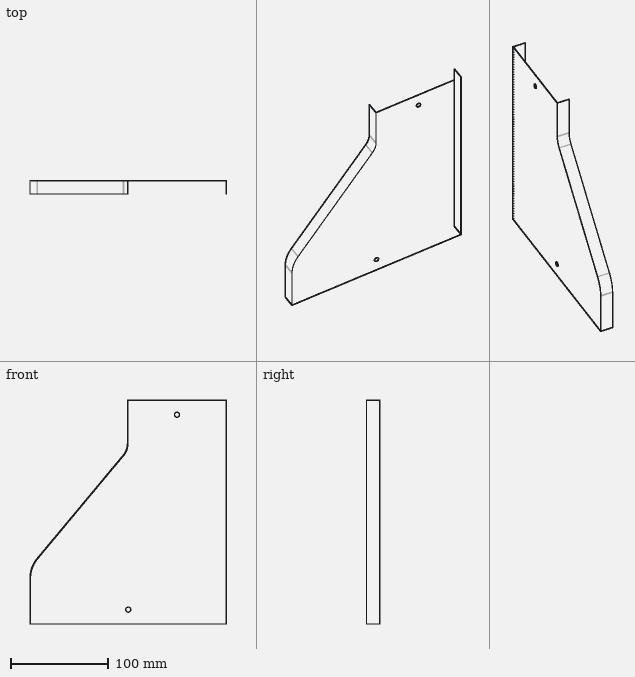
import cadquery as cq
import math

SHEET = 0.8
DEPTH = 14.0
HEIGHT = 230.0
OUTER_BASE_WIDTH = 202.0
OUTER_TOP_WIDTH = 102.0

SLOPE_START_Z = 58.4
SLOPE_RISE = 120.0
LOWER_BEND_RADIUS = 31.0
UPPER_BEND_RADIUS = 19.0

HOLE_DIAMETER = 5.0
HOLE_EDGE_DISTANCE = 15.0

BASE_WIDTH = OUTER_BASE_WIDTH - 2 * SHEET
TOP_WIDTH = OUTER_TOP_WIDTH - 2 * SHEET
STEP = BASE_WIDTH - TOP_WIDTH
SLOPE_END_Z = SLOPE_START_Z + SLOPE_RISE
SLOPE_ANGLE = math.atan2(STEP, SLOPE_RISE)


def left_wall(offset):
    """Arc points of the lower and upper bends, with the left side moved outward by offset."""
    half_angle = SLOPE_ANGLE / 2
    corner_shift = offset * math.tan(half_angle)
    lower_radius = LOWER_BEND_RADIUS + offset
    upper_radius = UPPER_BEND_RADIUS - offset

    def bend(corner_x, corner_z, radius, side):
        """Start, middle and end of a bend, going up; side is +1 when its centre lies to the right."""
        centre_x = corner_x + side * radius
        centre_z = corner_z - side * radius * math.tan(half_angle)
        angles = (0, half_angle, SLOPE_ANGLE)
        if side < 0:
            angles = (SLOPE_ANGLE, half_angle, 0)
        return [
            (centre_x - side * radius * math.cos(a), centre_z + side * radius * math.sin(a))
            for a in angles
        ]

    lower = bend(-offset, SLOPE_START_Z + corner_shift, lower_radius, 1)
    upper = bend(STEP - offset, SLOPE_END_Z + corner_shift, upper_radius, -1)
    return lower, upper


def extrude_outline(offset, depth):
    """Solid with its left and right sides moved outward by offset, reaching forward from the back."""
    lower, upper = left_wall(offset)
    right_x = BASE_WIDTH + offset
    return (
        cq.Workplane("XZ")
        .moveTo(-offset, 0)
        .lineTo(*lower[0])
        .threePointArc(*lower[1:])
        .lineTo(*upper[0])
        .threePointArc(*upper[1:])
        .lineTo(STEP - offset, HEIGHT)
        .lineTo(right_x, HEIGHT)
        .lineTo(right_x, 0)
        .close()
        .extrude(depth)
    )


def make_tray():
    """Flat back plate with a flange along each side, open at the top and bottom."""
    block = extrude_outline(SHEET, DEPTH)
    hollow = extrude_outline(0, DEPTH - SHEET).translate((0, -SHEET, 0))
    return block.cut(hollow)


def make_holes():
    """Pins that cut the two mounting holes through the plate."""
    centres = [
        (BASE_WIDTH / 2, HOLE_EDGE_DISTANCE),
        (STEP + TOP_WIDTH / 2, HEIGHT - HOLE_EDGE_DISTANCE),
    ]
    return cq.Workplane("XZ").pushPoints(centres).circle(HOLE_DIAMETER / 2).extrude(SHEET)


result = make_tray().cut(make_holes())